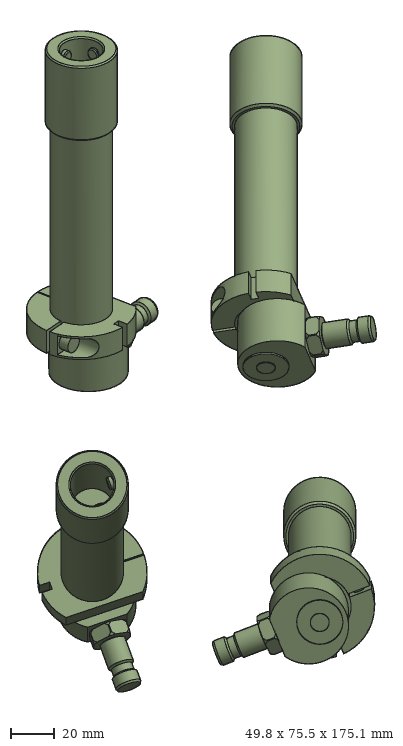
import cadquery as cq
import math

total_height = 175.1
total_depth = 75.5
tube_diameter = 28.5
grip_diameter = 33.0
grip_height = 39.5
grip_top_chamfer = 0.7
grip_bottom_chamfer = 1.0
bore_diameter = 20.0
bore_chamfer = 0.7
bore_depth = grip_height

pin_diameter = 6.0
pin_tip_diameter = 5.0
pin_tip_length = 0.7
pin_depth = 7.4
side_pin_tip_radius = 7.5
rear_pin_tip_radius = 8.2

base_diameter = 36.2
base_offset = 5.5
base_flat_y = 20.8
base_bottom = 1.4
base_top = 25.0
foot_disk_diameter = 21.0
foot_button_diameter = 8.5
foot_button_height = 0.5

nipple_z = (base_bottom + base_top) / 2
nipple_diameter = 12.0
nipple_neck_diameter = 10.0
nipple_end_chamfer = 1.0
head_length = 6.0
neck_length = 3.3
neck_taper = 0.9
root_length = 0.5
hex_flats = 17.5
hex_corner_diameter = 20.0
hex_length = 6.5
hex_chamfer = 1.4

collar_diameter = 49.9
collar_height = 12.0
collar_flat_y = 16.6
slit_width = 1.8
notch_width = 3.5
notch_floor_x = 20.0
groove_width = 0.5
groove_depth = 0.5

screw_y = -18.9
shank_diameter = 5.0
screw_head_diameter = 8.5
screw_head_length = 5.0
screw_pocket_diameter = 10.0
screw_seat_x = 4.9

collar_top = base_top + collar_height
screw_z = base_top + collar_height / 2
nipple_end_y = total_depth - collar_diameter / 2


def z_cylinder(diameter, z_low, z_high, y=0):
    return cq.Workplane("XY", origin=(0, y, z_low)).circle(diameter / 2).extrude(z_high - z_low)


def x_cylinder(diameter, x_low, x_high):
    """Cylinder on the clamp screw axis."""
    plane = cq.Workplane("YZ", origin=(x_low, screw_y, screw_z))
    return plane.circle(diameter / 2).extrude(x_high - x_low)


def make_tube_and_grip():
    tube = z_cylinder(tube_diameter, base_top, total_height - grip_height)
    grip = z_cylinder(grip_diameter, total_height - grip_height, total_height)
    grip = grip.faces(">Z").chamfer(grip_top_chamfer).faces("<Z").chamfer(grip_bottom_chamfer)
    bore = z_cylinder(bore_diameter, total_height - bore_depth, total_height)
    body = tube.union(grip).cut(bore)
    bore_rim = body.faces(">Z").edges(cq.selectors.RadiusNthSelector(0))
    return bore_rim.chamfer(bore_chamfer)


def make_pin(tip_radius, angle):
    """Pin rooted in the grip wall, pointing at the Z axis."""
    root_radius = (bore_diameter + grip_diameter) / 4
    pin = (
        cq.Workplane("YZ", origin=(tip_radius, 0, total_height - pin_depth))
        .circle(pin_diameter / 2)
        .extrude(root_radius - tip_radius)
        .faces("<X")
        .chamfer(pin_tip_length, (pin_diameter - pin_tip_diameter) / 2)
    )
    return pin.rotate((0, 0, 0), (0, 0, 1), angle)


def make_base():
    block = z_cylinder(base_diameter, base_bottom, base_top, base_offset)
    beyond_flat = cq.Workplane("XY").box(
        base_diameter, base_diameter, base_top, centered=(True, False, False)
    ).translate((0, base_flat_y, 0))
    disk = z_cylinder(foot_disk_diameter, foot_button_height, base_bottom)
    button = z_cylinder(foot_button_diameter, 0, foot_button_height)
    return block.cut(beyond_flat).union(disk).union(button)


def make_nipple():
    hex_end_y = base_flat_y + hex_length
    body_radius = nipple_diameter / 2
    neck_radius = nipple_neck_diameter / 2
    head_y = nipple_end_y - head_length
    neck_end_y = head_y - neck_taper
    neck_start_y = neck_end_y - neck_length
    profile = [
        (0, hex_end_y),
        (neck_radius, hex_end_y),
        (body_radius, hex_end_y + root_length),
        (body_radius, neck_start_y - neck_taper),
        (neck_radius, neck_start_y),
        (neck_radius, neck_end_y),
        (body_radius, head_y),
        (body_radius, nipple_end_y - nipple_end_chamfer),
        (body_radius - nipple_end_chamfer / 2, nipple_end_y),
        (0, nipple_end_y),
    ]
    stem = cq.Workplane("XY").polyline(profile).close().revolve(360, (0, 0), (0, 1))

    hexagon = (
        cq.Workplane("XZ")
        .polygon(6, hex_flats / math.cos(math.pi / 6))
        .extrude(-hex_length)
        .rotate((0, 0, 0), (0, 1, 0), 90)
    )
    turned = cq.Workplane("XZ").circle(hex_corner_diameter / 2).extrude(-hex_length)
    turned = turned.faces("<Y or >Y").chamfer(hex_chamfer, hex_chamfer / 2)
    nut = hexagon.intersect(turned).translate((0, base_flat_y, 0))
    return stem.union(nut).translate((0, 0, nipple_z))


def make_main_body():
    body = make_tube_and_grip().union(make_base()).union(make_nipple())
    body = body.union(make_pin(side_pin_tip_radius, 180))
    return body.union(make_pin(rear_pin_tip_radius, 90))


def make_collar():
    radius = collar_diameter / 2
    ring = z_cylinder(collar_diameter, base_top, collar_top)
    ring = ring.cut(z_cylinder(tube_diameter, base_top, collar_top))
    plan = cq.Workplane("XY", origin=(0, 0, base_top))
    beyond_flat = plan.box(
        collar_diameter, radius, collar_height, centered=(True, False, False)
    ).translate((0, collar_flat_y, 0))
    slit = plan.box(slit_width, radius, collar_height, centered=(True, False, False)).translate((0, -radius, 0))
    notch = plan.box(
        radius, notch_width, collar_height, centered=(False, True, False)
    ).translate((notch_floor_x, 0, 0))
    groove = cq.Workplane("XY", origin=(-radius, 0, collar_top - groove_depth)).box(
        radius, groove_width, groove_depth, centered=(False, True, False)
    )

    pocket_opening = cq.Workplane("XY", origin=(screw_seat_x, screw_y, screw_z)).box(
        radius, radius, screw_pocket_diameter, centered=(False, False, True)
    ).translate((0, -radius, 0))
    pocket = x_cylinder(screw_pocket_diameter, screw_seat_x, radius).union(pocket_opening)
    ring = ring.cut(beyond_flat).cut(slit).cut(notch).cut(groove).cut(pocket)

    head = x_cylinder(screw_head_diameter, screw_seat_x, screw_seat_x + screw_head_length)
    shank = x_cylinder(shank_diameter, -screw_seat_x, screw_seat_x)
    return ring.union(head).union(shank)


main_body = make_main_body()
collar = make_collar()
result = cq.Compound.makeCompound([main_body.solids().val(), collar.solids().val()])